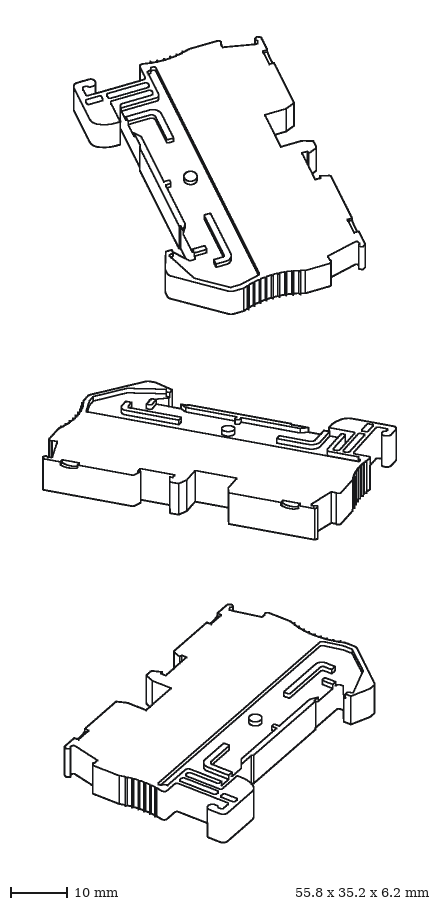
import cadquery as cq
import math

LENGTH = 55.8
HEIGHT = 35.2
THICKNESS = 6.2

RAIL_EDGE_Y = 6.2
PLATFORM_EDGE_Y = 5.9
PLATFORM_X = (18.4, 38.1)
PLATFORM_BEVEL = 0.3
SHOULDER_Y = 28.0
LIP_HEIGHT = 0.15

DEEP_NOTCH_X = (19.2, 27.2)
DEEP_NOTCH_Y = 29.35
SHALLOW_NOTCH_X = (29.85, 36.5)
SHALLOW_NOTCH_Y = 32.3
LATCH_Y = 33.35
LATCH_OVERHANG = 0.55

FOOT_X = 0.35
FOOT_TOP_Y = 4.85
FOOT_END_X = 11.6
STEM_X = 3.85
STEM_TOP_Y = 12.65
STEM_WALL_TOP_Y = 13.6
SLIT_X = (6.55, 7.75)

CLAW_X = 42.85
CLAW_ROOT_X = 45.7

WINDOW_X = (4.65, 5.85)
UPPER_WINDOW_Y = (FOOT_TOP_Y, STEM_TOP_Y)
LOWER_WINDOW_Y = (0.85, 3.85)
WINDOW_TOP_RADIUS = 0.55
WINDOW_CORNER_RADIUS = 0.35

GRIP_Y = 17.3
GRIP_RADIUS = 15.05
LEFT_GRIP_DEPTH = 0.85
RIGHT_GRIP_DEPTH = 1.15
LEFT_TEETH = range(-2, 4)
RIGHT_TEETH = range(-4, 5)
TOOTH_PITCH = 1.2
TOOTH_HEIGHT = 0.35
TOOTH_WIDTH = 0.5
TOOTH_ROOT = 0.15

POCKET_DEPTH = 0.9
POCKET_FLOOR_Z = THICKNESS - POCKET_DEPTH
POCKET_TOP_Y = 15.25
POCKET_STEP_Y = 13.5
OVERRUN = 0.55
PLATFORM_TOP_Y = 7.1
TAB_X = (27.45, 28.3)
TAB_TOP_Y = 8.15
LEFT_RIB_X = (10.9, 12.0)
LEFT_RIB_Y = (11.1, 12.35)
RIGHT_RIB_X = (47.65, 48.75)
RIGHT_RIB_Y = (10.95, 12.15)
POST_X = (44.0, 45.0)
POST_TOP_Y = 8.55
PIN_CENTRE = (27.95, 11.95)
PIN_RADIUS = 1.15

MARKER_CENTRES = (6.75, 48.95)
MARKER_WIDTH = 3.3
MARKER_FLAT = 0.5
MARKER_LENGTH = 0.9
MARKER_SIDE_DEPTH = 0.55
MARKER_SAG = 0.35


def rounded_outline(corners):
    """Closed outline through (x, y, radius) corners; radius 0 keeps a corner sharp."""
    outline = None
    for i, (x, y, radius) in enumerate(corners):
        corner = cq.Vector(x, y)
        to_before = (cq.Vector(*corners[i - 1][:2]) - corner).normalized()
        to_after = (cq.Vector(*corners[(i + 1) % len(corners)][:2]) - corner).normalized()
        half_angle = to_before.getAngle(to_after) / 2
        bisector = (to_before + to_after).normalized()
        setback = radius / math.tan(half_angle)
        crown = radius / math.sin(half_angle) - radius
        arc_start = (corner + to_before * setback).toTuple()[:2]
        arc_middle = (corner + bisector * crown).toTuple()[:2]
        arc_end = (corner + to_after * setback).toTuple()[:2]
        if outline is None:
            outline = cq.Workplane("XY").moveTo(*arc_start)
        else:
            outline = outline.lineTo(*arc_start)
        if radius > 0:
            outline = outline.threePointArc(arc_middle, arc_end)
    return outline.close()


def rounded_plate(corners, height):
    """Flat plate on the ground plane with a rounded outline."""
    return rounded_outline(corners).extrude(height)


hook_corners = [
    (0, SHOULDER_Y + LIP_HEIGHT, 0.55),
    (0.65, SHOULDER_Y + LIP_HEIGHT, 0),
    (0.8, SHOULDER_Y, 0),
    (1.75, SHOULDER_Y, 0),
    (3.25, 34.1, 0.35),
    (2.5, 34.3, 0),
    (2.0, 33.85, 0.2),
    (1.55, 34.6, 0.3),
    (1.95, HEIGHT, 0),
]
mirrored_hook_corners = [(LENGTH - x, y, r) for x, y, r in reversed(hook_corners)]

top_corners = [
    (18.4, HEIGHT, 0),
    (DEEP_NOTCH_X[0], LATCH_Y, 0),
    (DEEP_NOTCH_X[0], DEEP_NOTCH_Y, 0),
    (DEEP_NOTCH_X[1], DEEP_NOTCH_Y, 0),
    (DEEP_NOTCH_X[1], LATCH_Y, 0),
    (27.95, HEIGHT, 0),
    (29.65, HEIGHT, 0.45),
    (SHALLOW_NOTCH_X[0] + LATCH_OVERHANG, LATCH_Y, 0),
    (SHALLOW_NOTCH_X[0], LATCH_Y, 0),
    (SHALLOW_NOTCH_X[0], SHALLOW_NOTCH_Y, 0),
    (SHALLOW_NOTCH_X[1], SHALLOW_NOTCH_Y, 0),
    (SHALLOW_NOTCH_X[1], LATCH_Y, 0),
    (SHALLOW_NOTCH_X[1] - LATCH_OVERHANG, LATCH_Y, 0),
    (36.6, HEIGHT, 0.4),
]

right_foot_corners = [
    (LENGTH, 9.05, 1.4),
    (48.2, 0, 0.95),
    (46.65, 0, 1.75),
    (CLAW_X, 1.55, 0),
    (CLAW_X, 3.1, 0),
    (CLAW_ROOT_X, 5.1, 0.2),
    (CLAW_ROOT_X, RAIL_EDGE_Y, 0.45),
]

rail_edge_corners = [
    (PLATFORM_X[1], RAIL_EDGE_Y, 0),
    (PLATFORM_X[1], PLATFORM_EDGE_Y, 0),
    (PLATFORM_X[0], PLATFORM_EDGE_Y, 0),
    (PLATFORM_X[0] - PLATFORM_BEVEL, RAIL_EDGE_Y, 0),
]

left_foot_corners = [
    (SLIT_X[1], RAIL_EDGE_Y, 0.5),
    (SLIT_X[1], STEM_TOP_Y, 0.55),
    (SLIT_X[0], STEM_TOP_Y, 0.55),
    (SLIT_X[0], FOOT_TOP_Y, 0.35),
    (FOOT_END_X, FOOT_TOP_Y, 0),
    (FOOT_END_X, 2.6, 5.6),
    (10.25, 0, 2.0),
    (FOOT_X, 0, 1.0),
    (FOOT_X, 4.1, 0.85),
    (2.1, 4.1, 0.85),
    (2.1, 2.6, 0.15),
    (1.7, 2.3, 0.15),
    (1.7, 1.4, 0.3),
    (STEM_X, 1.4, 0.35),
    (STEM_X, STEM_TOP_Y, 0.5),
    (FOOT_X, STEM_TOP_Y, 0.55),
    (FOOT_X, STEM_WALL_TOP_Y, 0),
    (0, STEM_WALL_TOP_Y, 0),
]

housing_corners = (
    hook_corners
    + top_corners
    + mirrored_hook_corners
    + right_foot_corners
    + rail_edge_corners
    + left_foot_corners
)
body = rounded_plate(housing_corners, THICKNESS)


def cut_grip(solid, centre_x):
    """Hollow one side wall with a large cylinder."""
    return solid.cut(cq.Workplane("XY").center(centre_x, GRIP_Y).circle(GRIP_RADIUS).extrude(THICKNESS))


def add_teeth(solid, centre_x, outward, steps):
    """Add triangular teeth along a grip; outward is -1 on the left wall and 1 on the right."""
    for step in steps:
        rise = step * TOOTH_PITCH
        wall_x = centre_x - outward * math.sqrt(GRIP_RADIUS ** 2 - rise ** 2)
        y = GRIP_Y + rise
        tooth = (
            cq.Workplane("XY")
            .moveTo(wall_x - outward * TOOTH_ROOT, y - TOOTH_WIDTH / 2)
            .lineTo(wall_x + outward * TOOTH_HEIGHT, y)
            .lineTo(wall_x - outward * TOOTH_ROOT, y + TOOTH_WIDTH / 2)
            .close()
            .extrude(THICKNESS)
        )
        solid = solid.union(tooth)
    return solid


left_grip_x = LEFT_GRIP_DEPTH - GRIP_RADIUS
right_grip_x = LENGTH - RIGHT_GRIP_DEPTH + GRIP_RADIUS
body = cut_grip(body, left_grip_x)
body = cut_grip(body, right_grip_x)
body = add_teeth(body, left_grip_x, -1, LEFT_TEETH)
body = add_teeth(body, right_grip_x, 1, RIGHT_TEETH)


def window(y_range, top_radius):
    """Upright opening through the stem of the left foot."""
    left, right = WINDOW_X
    bottom, top = y_range
    return rounded_plate(
        [
            (left, bottom, WINDOW_CORNER_RADIUS),
            (left, top, top_radius),
            (right, top, top_radius),
            (right, bottom, WINDOW_CORNER_RADIUS),
        ],
        THICKNESS,
    )


body = body.cut(window(UPPER_WINDOW_Y, WINDOW_TOP_RADIUS))
body = body.cut(window(LOWER_WINDOW_Y, WINDOW_CORNER_RADIUS))

pocket_corners = [
    (8.65, RAIL_EDGE_Y - OVERRUN, 0),
    (8.65, POCKET_STEP_Y, 0.65),
    (2.4, POCKET_STEP_Y, 0),
    (2.1, 14.3, 0.2),
    (1.7, 14.45, 0.15),
    (1.7, POCKET_TOP_Y, 0.4),
    (53.8, POCKET_TOP_Y, 0.55),
    (54.8, 11.15, 0),
    (54.8, 9.3, 0),
    (50.5, 4.1, 0.55),
    (43.9, 1.8, 0.2),
    (43.6, 2.75, 0.2),
    (CLAW_X - OVERRUN, 2.75, 0),
    (CLAW_X - OVERRUN, RAIL_EDGE_Y - OVERRUN, 0),
]
pocket = rounded_plate(pocket_corners, POCKET_DEPTH).translate((0, 0, POCKET_FLOOR_Z))

platform = [
    (14.9, RAIL_EDGE_Y, 0),
    (16.2, PLATFORM_TOP_Y, 0),
    (TAB_X[0], PLATFORM_TOP_Y, 0),
    (TAB_X[0], TAB_TOP_Y, 0.15),
    (TAB_X[1], TAB_TOP_Y, 0.15),
    (TAB_X[1], PLATFORM_TOP_Y, 0),
    (38.05, PLATFORM_TOP_Y, 0),
    (39.35, RAIL_EDGE_Y, 0),
] + rail_edge_corners
left_rib = [
    (LEFT_RIB_X[0], RAIL_EDGE_Y, 0),
    (LEFT_RIB_X[0], LEFT_RIB_Y[1], 1.7),
    (18.5, LEFT_RIB_Y[1], 0),
    (18.5, LEFT_RIB_Y[0], 0.2),
    (LEFT_RIB_X[1], LEFT_RIB_Y[0], 0.8),
    (LEFT_RIB_X[1], RAIL_EDGE_Y, 0),
]
right_rib = [
    (37.3, RIGHT_RIB_Y[0], 0.2),
    (37.3, RIGHT_RIB_Y[1], 0),
    (RIGHT_RIB_X[1], RIGHT_RIB_Y[1], 1.35),
    (RIGHT_RIB_X[1], 8.9, 0),
    (RIGHT_RIB_X[0], 8.9, 0),
    (RIGHT_RIB_X[0], RIGHT_RIB_Y[0], 0.45),
]
post = [
    (POST_X[0], RAIL_EDGE_Y, 0),
    (POST_X[0], POST_TOP_Y, 0.2),
    (POST_X[1], POST_TOP_Y, 0),
    (POST_X[1], RAIL_EDGE_Y, 0),
]
for raised in (platform, left_rib, right_rib, post):
    pocket = pocket.cut(rounded_plate(raised, THICKNESS))
pocket = pocket.cut(cq.Workplane("XY").center(*PIN_CENTRE).circle(PIN_RADIUS).extrude(THICKNESS))
body = body.cut(pocket)


def marker_recess(centre_x):
    """Trough cut into the upper face at the top edge."""
    half = MARKER_WIDTH / 2
    flat = MARKER_FLAT / 2
    flank = half - flat
    side_z = THICKNESS - MARKER_SIDE_DEPTH
    floor_z = side_z - MARKER_SAG
    radius = (flank ** 2 + MARKER_SAG ** 2) / (2 * MARKER_SAG)
    return (
        cq.Workplane("XZ", origin=(centre_x, HEIGHT, 0))
        .moveTo(-half, THICKNESS)
        .lineTo(-half, side_z)
        .radiusArc((-flat, floor_z), -radius)
        .lineTo(flat, floor_z)
        .radiusArc((half, side_z), -radius)
        .lineTo(half, THICKNESS)
        .close()
        .extrude(MARKER_LENGTH)
    )


for centre_x in MARKER_CENTRES:
    body = body.cut(marker_recess(centre_x))

result = body